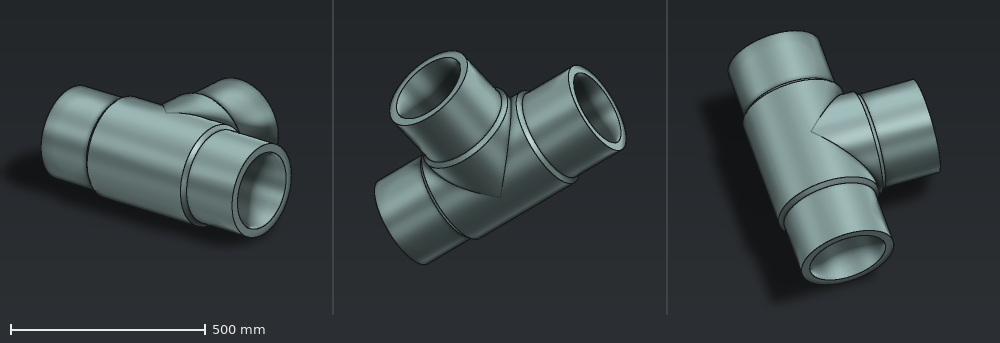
import cadquery as cq

run_length = 622.0
branch_reach = 310.5
pipe_diameter = 250.0
body_diameter = 272.5
bore_diameter = 204.5
spigot_length = 148.0

body_length = run_length - 2 * spigot_length
branch_body_reach = branch_reach - spigot_length
body_chamfer = (body_diameter - pipe_diameter) / 2

branch_plane = cq.Workplane("XZ").workplane(invert=True)


def run_cylinder(diameter, length):
    """Cylinder along X, centred on the tee."""
    return cq.Workplane("YZ").circle(diameter / 2).extrude(length / 2, both=True)


def branch_cylinder(diameter, reach):
    """Cylinder along +Y, starting at the run axis."""
    return branch_plane.circle(diameter / 2).extrude(reach)


run_body = run_cylinder(body_diameter, body_length).edges("%CIRCLE").chamfer(body_chamfer)
branch_body = branch_cylinder(body_diameter, branch_body_reach).faces(">Y").edges().chamfer(body_chamfer)
body = run_body.union(branch_body)

pipes = run_cylinder(pipe_diameter, run_length).union(branch_cylinder(pipe_diameter, branch_reach))

bores = run_cylinder(bore_diameter, run_length).union(branch_cylinder(bore_diameter, branch_reach))

result = body.union(pipes).cut(bores)